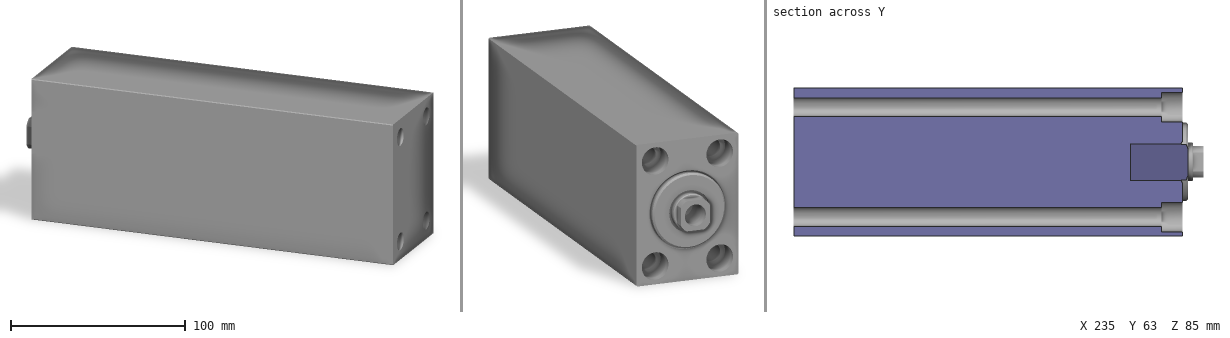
import cadquery as cq
import math

overall_length = 235.0

block_length = 223.0
block_width = 63.0
block_height = 85.0
long_edge_chamfer = 0.5

hole_spacing_y = 40.0
hole_spacing_z = 63.0
hole_dia = 10.5
counterbore_dia = 16.5
counterbore_depth = 12.0

gland_dia = 45.0
gland_depth = 30.0
gland_projection = 3.0
gland_chamfer = 1.0
bore_chamfer = 1.0

rod_dia = 22.0
rod_chamfer = 0.5
rod_projection = overall_length - block_length
rod_tip = -rod_projection

recess_dia = rod_dia + 3.0
recess_depth = 1.2

head_length = 6.0
head_dia = rod_dia - 2 * rod_chamfer
head_across_flats = 18.0
blind_hole_dia = 13.0
blind_hole_depth = 20.0
drill_point_angle = 118.0


def disc(diameter, start, end):
    """Cylinder around the X axis from X = start to X = end."""
    return cq.Workplane("YZ", origin=(start, 0, 0)).circle(diameter / 2).extrude(end - start)


def cone(diameter, start, length):
    """Pointed cone around the X axis, with its base at X = start and its point towards +X."""
    profile = [(start, 0), (start, diameter / 2), (start + length, 0)]
    return cq.Workplane("XY").polyline(profile).close().revolve(360, (0, 0, 0), (1, 0, 0))


def mounting_holes():
    """Four through holes, each counterbored from the front face."""
    centers = [
        (side * hole_spacing_y / 2, level * hole_spacing_z / 2)
        for side in (-1, 1)
        for level in (-1, 1)
    ]
    face = cq.Workplane("YZ").pushPoints(centers)
    shanks = face.circle(hole_dia / 2).extrude(block_length)
    counterbores = face.circle(counterbore_dia / 2).extrude(counterbore_depth)
    return shanks.union(counterbores)


def gland_bore():
    """Bore for the gland, chamfered at its mouth."""
    mouth_dia = gland_dia + 2 * bore_chamfer
    mouth = cone(mouth_dia, 0, mouth_dia / 2)
    return disc(gland_dia, 0, gland_depth).union(mouth)


def make_block():
    size = (block_length, block_width, block_height)
    block = cq.Workplane("XY").box(*size, centered=(False, True, True))
    block = block.edges("|X").chamfer(long_edge_chamfer)
    return block.cut(mounting_holes()).cut(gland_bore())


def make_gland():
    front = -gland_projection
    gland = disc(gland_dia, front, gland_depth).faces("<X").chamfer(gland_chamfer)
    gland = gland.cut(disc(rod_dia, front, gland_depth))
    return gland.cut(disc(recess_dia, front, front + recess_depth))


def wrench_head():
    """Round head cut back by four flats."""
    square = (
        cq.Workplane("YZ", origin=(rod_tip, 0, 0))
        .rect(head_across_flats, head_across_flats)
        .extrude(head_length)
    )
    return disc(head_dia, rod_tip, rod_tip + head_length).intersect(square)


def blind_hole():
    """Straight hole in the rod end, finished by a drill point."""
    bottom = rod_tip + blind_hole_depth
    point_length = blind_hole_dia / 2 / math.tan(math.radians(drill_point_angle / 2))
    return disc(blind_hole_dia, rod_tip, bottom).union(cone(blind_hole_dia, bottom, point_length))


def make_rod():
    shoulder = rod_tip + head_length
    rod = disc(rod_dia, shoulder, gland_depth).faces("<X").chamfer(rod_chamfer)
    return rod.union(wrench_head()).cut(blind_hole())


block = make_block()
gland = make_gland()
rod = make_rod()

result = cq.Compound.makeCompound([body.solids().val() for body in (block, gland, rod)])